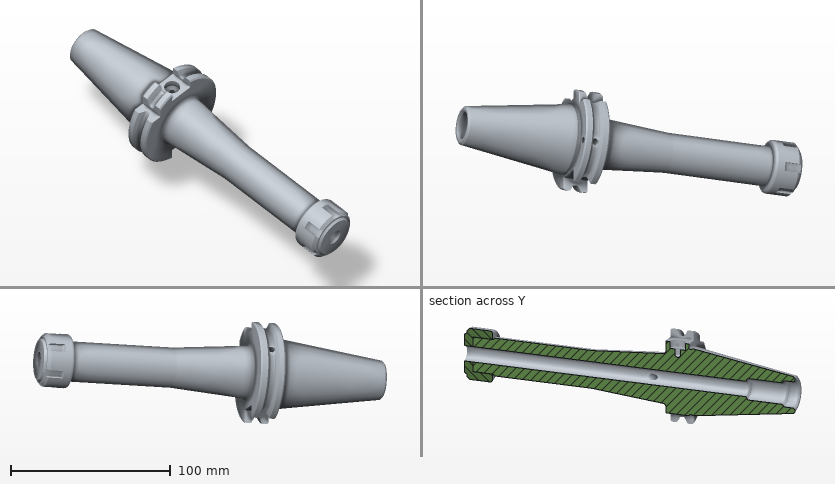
import cadquery as cq
import math


gauge_x = 69.0
relief_x = 70.2
flange_start_x = 71.5
flange_end_x = 87.5
groove_x = 79.4
neck_end_x = 137.0
shank_end_x = 203.7
nut_start_x = 204.4
spigot_end_x = 218.0
nut_end_x = 223.5

gauge_diameter = 44.5
gauge_radius = gauge_diameter / 2
taper_slope = 7 / 48
taper_small_radius = gauge_radius - gauge_x * taper_slope
taper_chamfer = 1.1
relief_radius = 21.7
relief_fillet = 0.7
flange_radius = 31.8
flange_chamfer = 1.0
neck_start_radius = 16.5
neck_fillet = 2.0
shank_diameter = 25.3
shank_radius = shank_diameter / 2
spigot_radius = 11.6

groove_floor_radius = 28.0
groove_floor_width = 3.0
groove_flank_angle = 30
groove_corner_radius = 1.0

through_radius = 5.0
thread_radius = 7.0
thread_depth = 32.0
pilot_radius = 8.5
pilot_depth = 7.2
mouth_chamfer = 1.1
drill_tip_angle = 59

slot_width = 16.0
upper_slot_floor_z = 25.0
lower_slot_floor_z = -22.5
slot_chamfer = 0.5
chamfer_angle = 45
notch_y = -18.5
notch_z = 18.3
recess_diameter = 10.0
recess_depth = 4.5
recess_pilot_diameter = 3.4
recess_pilot_depth = 4.5

channel_diameter = 4.0
channel_face_radius = 26.8
channel_angle = 20
channel_tilt = 40

nut_radius = 17.0
nut_back_fillet = 2.0
nut_face_x = 222.0
nut_front_chamfer = 2.0
boss_base_radius = 13.6
boss_radius = 12.7
wrench_slots = 6
wrench_slot_width = 5.4
wrench_slot_floor = 15.0
wrench_slot_tangent_x = 213.0
wrench_slot_run_out = 2.5
wrench_slot_phase = 13.5

clearance = 2.2


def revolve_about_x(profile):
    return profile.close().revolve(360, (0, 0, 0), (1, 0, 0))


def flange_cutout(y_range, z_range):
    """Box through the flange, flared at the taper side to break its edges."""
    width = y_range[1] - y_range[0]
    height = z_range[1] - z_range[0]
    center = (flange_start_x, sum(y_range) / 2, sum(z_range) / 2)
    mouth = cq.Workplane("YZ", origin=center)
    box = mouth.rect(width, height).extrude(flange_end_x - flange_start_x)
    flare_outline = mouth.rect(width + 2 * slot_chamfer, height + 2 * slot_chamfer)
    flare = flare_outline.extrude(slot_chamfer, taper=chamfer_angle)
    return box.union(flare)


def holder_blank():
    taper_chamfer_radius = taper_small_radius + taper_chamfer * taper_slope
    return revolve_about_x(
        cq.Workplane("XZ")
        .moveTo(0, 0)
        .lineTo(0, taper_small_radius - taper_chamfer)
        .lineTo(taper_chamfer, taper_chamfer_radius)
        .lineTo(gauge_x, gauge_radius)
        .lineTo(relief_x, relief_radius)
        .lineTo(flange_start_x - relief_fillet, relief_radius)
        .radiusArc((flange_start_x, relief_radius + relief_fillet), -relief_fillet)
        .lineTo(flange_start_x, flange_radius - flange_chamfer)
        .lineTo(flange_start_x + flange_chamfer, flange_radius)
        .lineTo(flange_end_x - flange_chamfer, flange_radius)
        .lineTo(flange_end_x, flange_radius - flange_chamfer)
        .lineTo(flange_end_x, neck_start_radius + neck_fillet)
        .radiusArc((flange_end_x + neck_fillet, neck_start_radius), -neck_fillet)
        .lineTo(neck_end_x, shank_radius)
        .lineTo(shank_end_x, shank_radius)
        .lineTo(shank_end_x, spigot_radius)
        .lineTo(spigot_end_x, spigot_radius)
        .lineTo(spigot_end_x, 0)
    )


def groove_cutter():
    depth = flange_radius - groove_floor_radius
    floor_half = groove_floor_width / 2
    mouth_half = floor_half + depth * math.tan(math.radians(groove_flank_angle))
    cutter = revolve_about_x(
        cq.Workplane("XZ")
        .moveTo(groove_x - mouth_half, flange_radius)
        .lineTo(groove_x - floor_half, groove_floor_radius)
        .lineTo(groove_x + floor_half, groove_floor_radius)
        .lineTo(groove_x + mouth_half, flange_radius)
        .lineTo(groove_x + mouth_half, flange_radius + clearance)
        .lineTo(groove_x - mouth_half, flange_radius + clearance)
    )
    floor_circles = cq.selectors.RadiusNthSelector(0)
    return cutter.edges("%CIRCLE").edges(floor_circles).fillet(groove_corner_radius)


def bore_cutter():
    tip_length = (thread_radius - through_radius) / math.tan(math.radians(drill_tip_angle))
    step = pilot_radius - thread_radius
    return revolve_about_x(
        cq.Workplane("XZ")
        .moveTo(0, 0)
        .lineTo(0, pilot_radius + mouth_chamfer)
        .lineTo(mouth_chamfer, pilot_radius)
        .lineTo(pilot_depth, pilot_radius)
        .lineTo(pilot_depth + step, thread_radius)
        .lineTo(thread_depth, thread_radius)
        .lineTo(thread_depth + tip_length, through_radius)
        .lineTo(nut_end_x, through_radius)
        .lineTo(nut_end_x, 0)
    )


def flange_cutouts():
    across = (-slot_width / 2, slot_width / 2)
    upper_slot = flange_cutout(across, (upper_slot_floor_z, flange_radius))
    lower_slot = flange_cutout(across, (-flange_radius, lower_slot_floor_z))
    notch = flange_cutout((-flange_radius, notch_y), (notch_z, flange_radius))
    return [upper_slot, lower_slot, notch]


def recess_cutter():
    small_radius = recess_pilot_diameter / 2
    pilot_end = recess_depth + recess_pilot_depth
    tip_end = pilot_end + small_radius / math.tan(math.radians(drill_tip_angle))
    return (
        cq.Workplane("XZ", origin=(groove_x, 0, upper_slot_floor_z))
        .lineTo(recess_diameter / 2, 0)
        .lineTo(recess_diameter / 2, -recess_depth)
        .lineTo(small_radius, -recess_depth)
        .lineTo(small_radius, -pilot_end)
        .lineTo(0, -tip_end)
        .close()
        .revolve(360, (0, 0, 0), (0, 1, 0))
    )


def channel_cutters():
    tilt = math.radians(channel_tilt)
    inward = cq.Vector(math.cos(tilt), -math.sin(tilt), 0)
    mouth = cq.Vector(flange_start_x, channel_face_radius, 0)
    lead_in = channel_diameter
    length = lead_in + channel_face_radius / math.sin(tilt)
    start = mouth - inward * lead_in
    inclined = cq.Solid.makeCylinder(channel_diameter / 2, length, start, inward)
    channel_radius_at_groove = channel_face_radius - (groove_x - flange_start_x) * math.tan(tilt)
    radial = cq.Solid.makeCylinder(
        channel_diameter / 2,
        flange_radius - channel_radius_at_groove,
        cq.Vector(groove_x, channel_radius_at_groove, 0),
        cq.Vector(0, 1, 0),
    )
    axis = (cq.Vector(0, 0, 0), cq.Vector(1, 0, 0))
    return [
        cutter.rotate(*axis, channel_angle + turn)
        for turn in (0, 180)
        for cutter in (inclined, radial)
    ]


def build_holder():
    holder = holder_blank().cut(groove_cutter()).cut(bore_cutter())
    for cutout in flange_cutouts():
        holder = holder.cut(cutout)
    holder = holder.cut(recess_cutter())
    for channel in channel_cutters():
        holder = holder.cut(cq.Workplane(channel))
    return holder


def wrench_slot_cutter():
    outer = nut_radius + clearance
    wall_x = wrench_slot_tangent_x - wrench_slot_run_out
    corner_z = wrench_slot_floor + wrench_slot_run_out
    return (
        cq.Workplane("XZ")
        .moveTo(wall_x, outer)
        .lineTo(wall_x, corner_z)
        .radiusArc((wrench_slot_tangent_x, wrench_slot_floor), -wrench_slot_run_out)
        .lineTo(nut_end_x, wrench_slot_floor)
        .lineTo(nut_end_x, outer)
        .close()
        .extrude(wrench_slot_width / 2, both=True)
    )


def build_nut():
    nut = revolve_about_x(
        cq.Workplane("XZ")
        .moveTo(nut_start_x, spigot_radius)
        .lineTo(nut_start_x, nut_radius - nut_back_fillet)
        .radiusArc((nut_start_x + nut_back_fillet, nut_radius), nut_back_fillet)
        .lineTo(nut_face_x - nut_front_chamfer, nut_radius)
        .lineTo(nut_face_x, nut_radius - nut_front_chamfer)
        .lineTo(nut_face_x, boss_base_radius)
        .lineTo(nut_end_x, boss_radius)
        .lineTo(nut_end_x, through_radius)
        .lineTo(spigot_end_x, through_radius)
        .lineTo(spigot_end_x, spigot_radius)
    )
    slot = wrench_slot_cutter()
    for index in range(wrench_slots):
        angle = wrench_slot_phase + index * 360 / wrench_slots
        nut = nut.cut(slot.rotate((0, 0, 0), (1, 0, 0), -angle))
    return nut


holder = build_holder()
nut = build_nut()

result = cq.Compound.makeCompound([holder.val(), nut.val()])